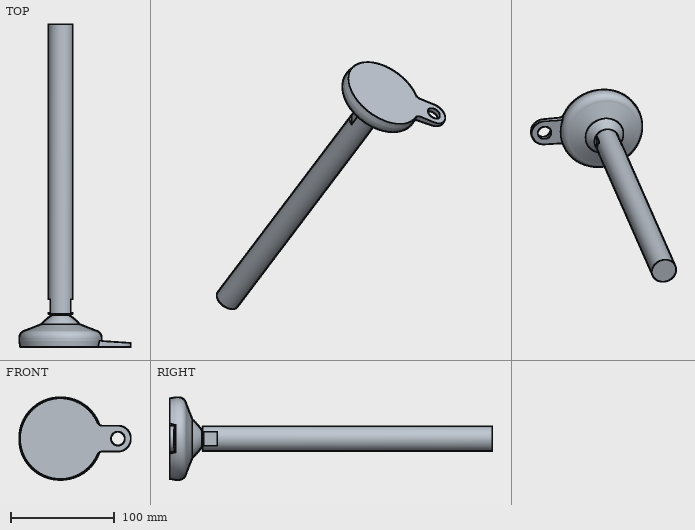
import cadquery as cq
import math

total_length = 311.5
y_face = -total_length / 2

foot_radius = 80.0 / 2
face_radius = 39.0
skirt_height = 6.0
rim_height = 8.7
shoulder_radius = 33.5
shoulder_height = 16.2
shoulder_bulge_radius = 38.3
shoulder_bulge_height = 13.5
dome_radius = 18.7
dome_height = 22.0
dome_bulge_radius = 13.7
dome_bulge_height = 27.0
neck_radius = 8.5
neck_height = 30.8

stem_radius = 24.0 / 2
stem_start = 32.0
flat_start = 33.0
flat_length = 13.0
flat_half_width = 10.0

tab_reach = 55.5
tab_radius = 25.2 / 2
tab_hole_radius = 13.0 / 2
tab_root_fillet = 5.0
tab_tip_thickness = 4.0


def make_foot_and_stem():
    """Revolve the foot, neck and stem about the Y axis."""
    profile = (
        cq.Workplane("XY")
        .moveTo(0, 0)
        .lineTo(face_radius, 0)
        .lineTo(foot_radius, skirt_height)
        .lineTo(foot_radius, rim_height)
        .threePointArc((shoulder_bulge_radius, shoulder_bulge_height), (shoulder_radius, shoulder_height))
        .lineTo(dome_radius, dome_height)
        .threePointArc((dome_bulge_radius, dome_bulge_height), (neck_radius, neck_height))
        .lineTo(stem_radius, stem_start)
        .lineTo(stem_radius, total_length)
        .lineTo(0, total_length)
        .close()
    )
    return profile.revolve(360, (0, 0, 0), (0, 1, 0))


def make_wrench_flats():
    """Two blocks that cut opposite flats into the stem."""
    cutters = cq.Workplane("XY")
    for side in (-1, 1):
        block = cq.Workplane("XY").box(stem_radius, flat_length, 2 * stem_radius)
        x_middle = side * (flat_half_width + stem_radius / 2)
        cutters = cutters.add(block.translate((x_middle, flat_start + flat_length / 2, 0)))
    return cutters.combine()


def make_tab():
    """Tab with concave root fillets, tapering in thickness to its tip."""
    fillet_z = tab_radius + tab_root_fillet
    center_distance = face_radius + tab_root_fillet
    fillet_x = math.sqrt(center_distance**2 - fillet_z**2)
    root_x = fillet_x * face_radius / center_distance
    root_z = fillet_z * face_radius / center_distance
    root_angle = math.atan2(-fillet_z, -fillet_x)
    mid_angle = (root_angle - math.pi / 2) / 2
    mid_x = fillet_x + tab_root_fillet * math.cos(mid_angle)
    mid_z = fillet_z + tab_root_fillet * math.sin(mid_angle)
    tip_x = tab_reach + tab_radius

    plate = (
        cq.Workplane("XZ")
        .moveTo(0, root_z)
        .lineTo(root_x, root_z)
        .threePointArc((mid_x, mid_z), (fillet_x, tab_radius))
        .lineTo(tab_reach, tab_radius)
        .threePointArc((tip_x, 0), (tab_reach, -tab_radius))
        .lineTo(fillet_x, -tab_radius)
        .threePointArc((mid_x, -mid_z), (root_x, -root_z))
        .lineTo(0, -root_z)
        .close()
        .moveTo(tab_reach, 0)
        .circle(tab_hole_radius)
        .extrude(-skirt_height)
    )
    taper = (
        cq.Workplane("XY")
        .polyline([
            (0, 0),
            (tip_x, 0),
            (tip_x, tab_tip_thickness),
            (fillet_x, skirt_height),
            (0, skirt_height),
        ])
        .close()
        .extrude(foot_radius, both=True)
    )
    return plate.intersect(taper)


foot_and_stem = make_foot_and_stem().cut(make_wrench_flats())
result = foot_and_stem.union(make_tab()).translate((0, y_face, 0))